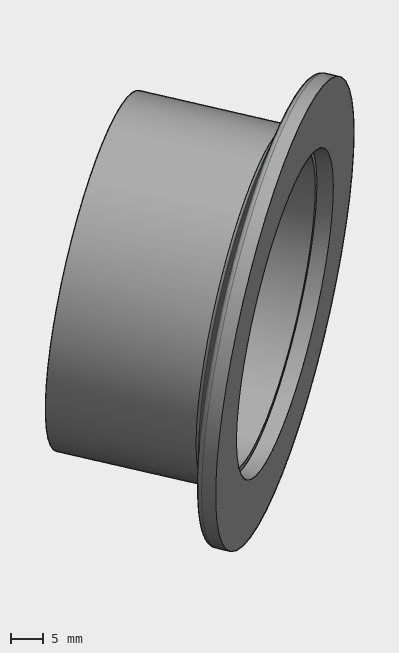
import cadquery as cq
import math

length = 30.0
flange_diameter = 75.0
tube_diameter = 57.0
bore_diameter = 50.6
recess_diameter = 52.4
recess_depth = 2.6
rim_width = 2.25
cone_angle = 15.0
rim_fillet = 0.9
root_fillet = 0.6

flange_radius = flange_diameter / 2
tube_radius = tube_diameter / 2
tube_end_x = -length / 2
flange_face_x = length / 2

rim_tangent = rim_fillet * math.tan(math.radians(90 - cone_angle) / 2)
cone_outer_x = flange_face_x - rim_width - rim_tangent
cone_length = (flange_radius - tube_radius) * math.tan(math.radians(cone_angle))
cone_root_x = cone_outer_x - cone_length

body = (
    cq.Workplane("XY")
    .moveTo(tube_end_x, 0)
    .lineTo(tube_end_x, tube_radius)
    .lineTo(cone_root_x, tube_radius)
    .lineTo(cone_outer_x, flange_radius)
    .lineTo(flange_face_x, flange_radius)
    .lineTo(flange_face_x, 0)
    .close()
    .revolve(360, (0, 0, 0), (1, 0, 0))
)


def fillet_circle(solid, x, radius, fillet_radius):
    """Round the circular edge of the given radius that lies at x."""
    margin = 0.1
    reach = radius + margin
    selector = cq.selectors.BoxSelector(
        (x - margin, -reach, -reach), (x + margin, reach, reach)
    )
    return solid.edges("%CIRCLE").edges(selector).fillet(fillet_radius)


body = fillet_circle(body, cone_outer_x, flange_radius, rim_fillet)
body = fillet_circle(body, cone_root_x, tube_radius, root_fillet)


def cylinder_along_x(start_x, diameter, depth):
    """Cylinder on the X axis, running from start_x toward +X."""
    return cq.Workplane("YZ", origin=(start_x, 0, 0)).circle(diameter / 2).extrude(depth)


bore = cylinder_along_x(tube_end_x, bore_diameter, length)
recess = cylinder_along_x(flange_face_x - recess_depth, recess_diameter, recess_depth)

result = body.cut(bore).cut(recess)